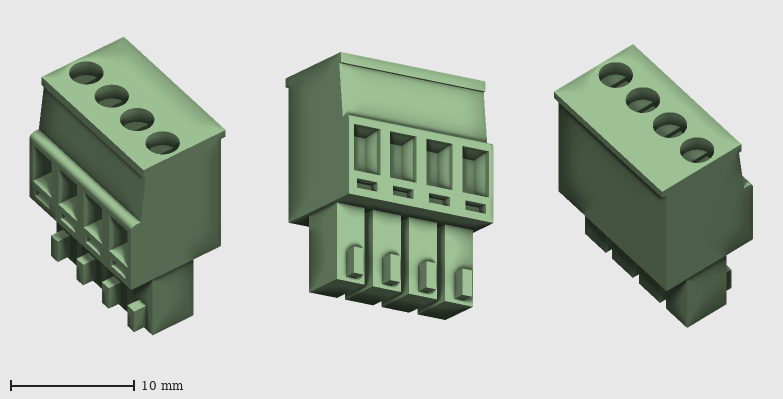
import cadquery as cq


MODULE_COUNT = 4
BLOCK_WIDTH = 14.0
BLOCK_DEPTH = 9.5
BLOCK_HEIGHT = 19.0
MODULE_WIDTH = BLOCK_WIDTH / MODULE_COUNT

HOUSING_BOTTOM = 6.55
BACK_LIP_OVERHANG = 0.48
BACK_LIP_HEIGHT = 0.75
FRONT_LIP_Y = 1.24
FRONT_LIP_OVERHANG = 0.25
FRONT_LIP_HEIGHT = 0.87
SHOULDER_Z = 13.43
SHOULDER_DEPTH = 0.95
SHOULDER_RADIUS = 0.5
HOUSING_BACK_Y = BLOCK_DEPTH - BACK_LIP_OVERHANG

FOOT_WIDTH = 2.7
FOOT_DEPTH = 4.12
FOOT_FRONT_Y = 2.45
KEY_WIDTH = 0.93
KEY_HEIGHT = 2.25
KEY_BOTTOM = 0.36
KEY_FRONT_Y = FRONT_LIP_Y

WELL_DIAMETER = 2.8
WELL_DEPTH = 1.5
WELL_Y = 4.45
DRIVER_SLOT_WIDTH = 0.7
DRIVER_SLOT_DEPTH = 0.5

ENTRY_WIDTH = 2.55
ENTRY_HEIGHT = 3.95
ENTRY_BOTTOM = 8.65
MOUTH_DEPTH = 0.5
FUNNEL_DEPTH = 1.0
FUNNEL_INSET = 0.48

TEST_SLOT_WIDTH = 2.0
TEST_SLOT_HEIGHT = 0.8
TEST_SLOT_BOTTOM = 7.2
TEST_SLOT_DEPTH = 1.0


def centred_box(width, front_y, depth, bottom_z, height):
    """Box centred on x = 0 that runs back from front_y and up from bottom_z."""
    corner = cq.Workplane("XY", origin=(0, front_y, bottom_z))
    return corner.box(width, depth, height, centered=(True, False, False))


def front_rectangle(y, width, height, centre_z):
    """Rectangle facing -Y at depth y, centred on x = 0 and centre_z."""
    return cq.Workplane("XZ", origin=(0, y, centre_z)).rect(width, height)


def housing_body():
    """Side profile with its lips, sloped upper front and rounded shoulder, extruded along X."""
    shoulder_arc_end_z = SHOULDER_Z - SHOULDER_RADIUS
    return (
        cq.Workplane("YZ", origin=(-MODULE_WIDTH / 2, 0, 0))
        .moveTo(0, HOUSING_BOTTOM)
        .lineTo(HOUSING_BACK_Y, HOUSING_BOTTOM)
        .lineTo(HOUSING_BACK_Y, BLOCK_HEIGHT - BACK_LIP_HEIGHT)
        .lineTo(BLOCK_DEPTH, BLOCK_HEIGHT - BACK_LIP_HEIGHT)
        .lineTo(BLOCK_DEPTH, BLOCK_HEIGHT)
        .lineTo(FRONT_LIP_Y, BLOCK_HEIGHT)
        .lineTo(FRONT_LIP_Y, BLOCK_HEIGHT - FRONT_LIP_HEIGHT)
        .lineTo(FRONT_LIP_Y + FRONT_LIP_OVERHANG, BLOCK_HEIGHT - FRONT_LIP_HEIGHT)
        .lineTo(SHOULDER_DEPTH, SHOULDER_Z)
        .lineTo(SHOULDER_RADIUS, SHOULDER_Z)
        .radiusArc((0, shoulder_arc_end_z), -SHOULDER_RADIUS)
        .close()
        .extrude(MODULE_WIDTH)
    )


def foot():
    return centred_box(FOOT_WIDTH, FOOT_FRONT_Y, FOOT_DEPTH, 0, HOUSING_BOTTOM)


def key():
    return centred_box(KEY_WIDTH, KEY_FRONT_Y, FOOT_FRONT_Y - KEY_FRONT_Y, KEY_BOTTOM, KEY_HEIGHT)


def screw_well():
    """Round well and the driver slot that crosses its whole floor."""
    floor = cq.Workplane("XY", origin=(0, WELL_Y, BLOCK_HEIGHT - WELL_DEPTH))
    well = floor.circle(WELL_DIAMETER / 2).extrude(WELL_DEPTH)
    slot_strip = floor.rect(DRIVER_SLOT_WIDTH, WELL_DIAMETER).extrude(-DRIVER_SLOT_DEPTH)
    slot = floor.circle(WELL_DIAMETER / 2).extrude(-DRIVER_SLOT_DEPTH).intersect(slot_strip)
    return well.union(slot)


def wire_entry():
    """Straight rectangular mouth followed by a four-sided funnel."""
    centre_z = ENTRY_BOTTOM + ENTRY_HEIGHT / 2
    end_width = ENTRY_WIDTH - 2 * FUNNEL_INSET
    end_height = ENTRY_HEIGHT - 2 * FUNNEL_INSET
    mouth = front_rectangle(0, ENTRY_WIDTH, ENTRY_HEIGHT, centre_z).extrude(-MOUTH_DEPTH)
    funnel = (
        front_rectangle(MOUTH_DEPTH, ENTRY_WIDTH, ENTRY_HEIGHT, centre_z)
        .workplane(offset=-FUNNEL_DEPTH)
        .rect(end_width, end_height)
        .loft()
    )
    return mouth.union(funnel)


def test_slot():
    return centred_box(TEST_SLOT_WIDTH, 0, TEST_SLOT_DEPTH, TEST_SLOT_BOTTOM, TEST_SLOT_HEIGHT)


def terminal_module(centre_x):
    """One complete module as a single solid, centred on centre_x."""
    body = housing_body().union(foot()).union(key())
    body = body.cut(screw_well()).cut(wire_entry()).cut(test_slot())
    return body.translate((centre_x, 0, 0))


modules = []
for index in range(MODULE_COUNT):
    module_x = (index - (MODULE_COUNT - 1) / 2) * MODULE_WIDTH
    modules.append(terminal_module(module_x).solids().val())

result = cq.Compound.makeCompound(modules)